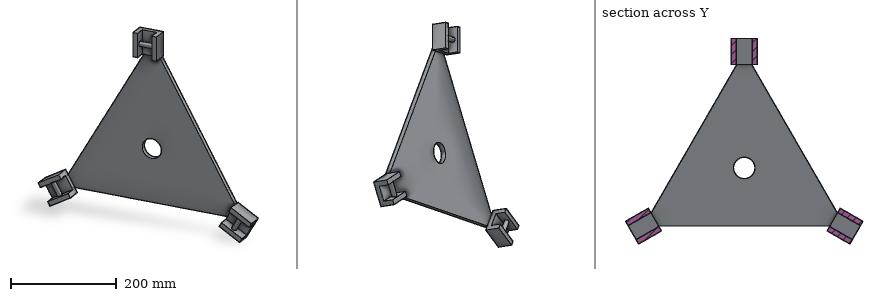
import cadquery as cq
import math

overall_width = 449.5
thickness = 10.0
bracket_size = 50.0
bracket_depth = 30.0
pin_diameter = 10.0
hole_diameter = 40.0
corner_count = 3

turn = 360.0 / corner_count
half_bracket = bracket_size / 2
bracket_reach = half_bracket * (math.cos(math.radians(30)) + math.sin(math.radians(30)))
corner_radius = (overall_width / 2 - bracket_reach) / math.cos(math.radians(30))

channel_width = bracket_size - 2 * thickness
channel_depth = bracket_depth - thickness
pin_y = -thickness - channel_depth / 2


def make_plate():
    """Triangular plate on the XZ plane, one corner up, with a central hole; its front face is at Y = 0."""
    corners = []
    for i in range(corner_count):
        angle = math.radians(90 + i * turn)
        corners.append((corner_radius * math.cos(angle), corner_radius * math.sin(angle)))
    outline = cq.Workplane("XZ").polyline(corners).close()
    return outline.circle(hole_diameter / 2).extrude(-thickness)


def make_bracket():
    """U-shaped bracket centred on the top plate corner, open toward -Y, with a pin across its channel."""
    body = cq.Workplane("XZ").rect(bracket_size, bracket_size).extrude(bracket_depth)
    channel = (
        cq.Workplane("XZ", origin=(0, -thickness, 0))
        .rect(channel_width, bracket_size)
        .extrude(channel_depth)
    )
    pin_length = channel_width + thickness
    pin = (
        cq.Workplane("YZ", origin=(-pin_length / 2, pin_y, 0))
        .circle(pin_diameter / 2)
        .extrude(pin_length)
    )
    return body.cut(channel).union(pin).translate((0, 0, corner_radius))


result = make_plate()
bracket = make_bracket()
for i in range(corner_count):
    result = result.union(bracket.rotate((0, 0, 0), (0, 1, 0), i * turn))